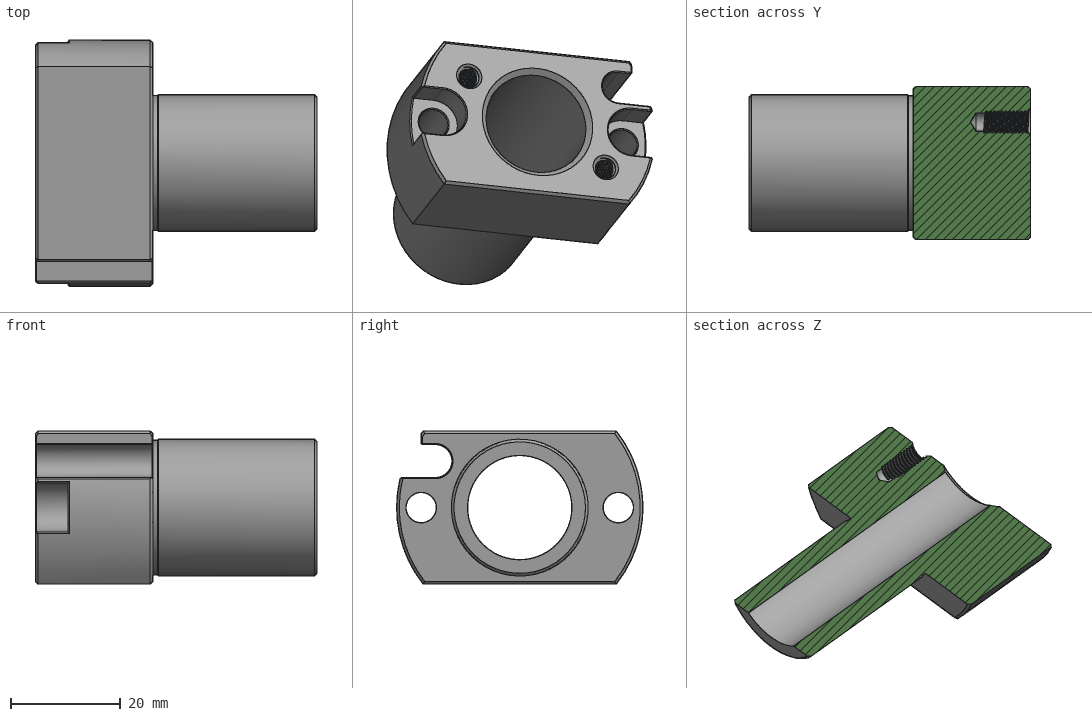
import cadquery as cq
import math

flange_radius = 22.5
flange_height = 28.0
flange_thickness = 21.5
flange_chamfer = 0.5

total_length = 51.5
tube_radius = 12.5
tube_chamfer = 0.5
neck_radius = 12.35
neck_length = 1.0
bore_radius = 9.5
bore_chamfer = 1.0

screw_offset = 18.0
screw_hole_radius = 2.75
pocket_radius = 4.5
pocket_depth = 6.0

slot_radius = 3.0
slot_center_y = -15.4
slot_center_z = 8.5
lip_end_y = -18.0
lip_chamfer = 0.2

small_chamfer = 0.2
rim_chamfer = 0.25

tap_circle_radius = 15.0
tap_angles = (30.0, 210.0)
tap_minor_radius = 1.65
tap_major_radius = 2.0
tap_mouth_radius = 2.4
tap_pitch = 0.7
tap_groove_width = 0.62
tap_root_width = 0.2
tap_groove_overlap = 0.1
tap_thread_length = 8.4
tap_depth = 10.0
tap_tip_angle = 118.0

bevel_angle = 45.0
outside = 2 * flange_radius


def yz_plane(x):
    """Section plane at the given X, with local axes along Y and Z."""
    return cq.Workplane("YZ", origin=(x, 0, 0))


def cone_frustum(x, start_radius, end_radius, length):
    """Round cutter along X whose radius changes evenly from start to end."""
    profile = [(x, 0), (x, start_radius), (x + length, end_radius)]
    if end_radius > 0:
        profile.append((x + length, 0))
    return cq.Workplane("XY").polyline(profile).close().revolve(axisStart=(0, 0), axisEnd=(1, 0))


def flange_blank():
    disc = yz_plane(0).circle(flange_radius).extrude(flange_thickness)
    band = yz_plane(0).rect(outside, flange_height).extrude(flange_thickness)
    return disc.intersect(band)


def rim_point(x, z, side):
    """Point on the round side of the flange at the given X and Z."""
    return (x, side * math.sqrt(flange_radius**2 - z**2), z)


def make_flange():
    """Flange with the cable slot and head pockets cut in and all its edges broken."""
    flange = flange_blank().cut(slot_outline(0, 0).extrude(flange_thickness))
    rim_points = [rim_point(flange_thickness / 2, slot_center_z - slot_radius, -1)]
    for side in (-1, 1):
        flange = flange.cut(pocket_outline(0, side, 0).extrude(pocket_depth))
        rim_points.append(rim_point(pocket_depth, 0, side))
        for z in (-pocket_radius, pocket_radius):
            rim_points.append(rim_point(pocket_depth / 2, z, side))
    rim_edges = cq.Workplane()
    for point in rim_points:
        rim_edges = rim_edges.add(flange.edges(cq.selectors.NearestToPointSelector(point)))
    flange = flange.newObject(rim_edges.vals()).chamfer(rim_chamfer)
    outline = flange_blank().faces("<X or >X").edges().chamfer(flange_chamfer)
    return flange.intersect(outline)


def make_tube():
    neck = yz_plane(flange_thickness).circle(neck_radius).extrude(neck_length)
    tube_start = flange_thickness + neck_length
    tube = yz_plane(tube_start).circle(tube_radius).extrude(total_length - tube_start)
    tube = tube.faces(">X").edges().chamfer(tube_chamfer)
    shoulder_step = tube_radius - neck_radius
    shoulder = cone_frustum(tube_start - shoulder_step, neck_radius, tube_radius, shoulder_step)
    return neck.union(shoulder).union(tube)


def make_bore():
    bore = yz_plane(0).circle(bore_radius).extrude(total_length)
    return bore.union(cone_frustum(0, bore_radius + bore_chamfer, bore_radius, bore_chamfer))


def slot_outline(x, growth):
    """Cable slot section, grown outwards all round by the given amount."""
    radius = slot_radius + growth
    bottom = slot_center_z - radius
    top = slot_center_z + radius
    lip_end = lip_end_y + growth
    corner_leg = lip_chamfer - growth * (2 - math.sqrt(2))
    return (
        yz_plane(x)
        .moveTo(-outside, bottom)
        .lineTo(slot_center_y, bottom)
        .threePointArc((slot_center_y + radius, slot_center_z), (slot_center_y, top))
        .lineTo(lip_end + corner_leg, top)
        .lineTo(lip_end, top + corner_leg)
        .lineTo(lip_end, outside)
        .lineTo(-outside, outside)
        .close()
    )


def make_slot_edge_breaks():
    front = slot_outline(0, small_chamfer).extrude(small_chamfer, taper=bevel_angle)
    back = slot_outline(flange_thickness, small_chamfer).extrude(-small_chamfer, taper=bevel_angle)
    return front.union(back)


def pocket_outline(x, side, growth):
    """Head pocket section: half round around the screw, open to the given side."""
    radius = pocket_radius + growth
    center = side * screw_offset
    return (
        yz_plane(x)
        .moveTo(side * outside, -radius)
        .lineTo(center, -radius)
        .threePointArc((center - side * radius, 0), (center, radius))
        .lineTo(side * outside, radius)
        .close()
    )


def make_screw_hole(side):
    """Screw hole together with the broken front edge of its head pocket."""
    mouth = pocket_outline(0, side, small_chamfer).extrude(small_chamfer, taper=bevel_angle)
    hole = yz_plane(0).circle(screw_hole_radius).extrude(flange_thickness)
    edge_break = cone_frustum(
        pocket_depth, screw_hole_radius + small_chamfer, screw_hole_radius, small_chamfer
    )
    hole = hole.union(edge_break).translate((0, side * screw_offset, 0))
    return mouth.union(hole)


def make_thread():
    """Helical groove along X that cuts the thread into the tap drill hole."""
    inner_radius = tap_minor_radius - tap_groove_overlap
    groove_section = [
        (inner_radius, -tap_groove_width / 2),
        (tap_major_radius, -tap_root_width / 2),
        (tap_major_radius, tap_root_width / 2),
        (inner_radius, tap_groove_width / 2),
    ]
    helix = cq.Workplane(cq.Wire.makeHelix(tap_pitch, tap_thread_length, inner_radius))
    groove = cq.Workplane("XZ").polyline(groove_section).close().sweep(helix, isFrenet=True)
    return groove.rotate((0, 0, 0), (0, 1, 0), 90)


def make_tapped_hole(angle):
    """Blind threaded hole with a conical tip and a chamfered mouth."""
    mouth_depth = tap_mouth_radius - tap_minor_radius
    tip_length = tap_minor_radius / math.tan(math.radians(tap_tip_angle / 2))
    drill = yz_plane(0).circle(tap_minor_radius).extrude(tap_depth)
    tip = cone_frustum(tap_depth, tap_minor_radius, 0, tip_length)
    mouth = cone_frustum(0, tap_mouth_radius, tap_minor_radius, mouth_depth)
    hole = drill.union(tip).union(mouth).union(make_thread())
    y = tap_circle_radius * math.cos(math.radians(angle))
    z = tap_circle_radius * math.sin(math.radians(angle))
    return hole.translate((0, y, z))


result = make_flange().cut(make_slot_edge_breaks()).union(make_tube()).cut(make_bore())
for side in (-1, 1):
    result = result.cut(make_screw_hole(side))
for angle in tap_angles:
    result = result.cut(make_tapped_hole(angle))
result = result.solids()